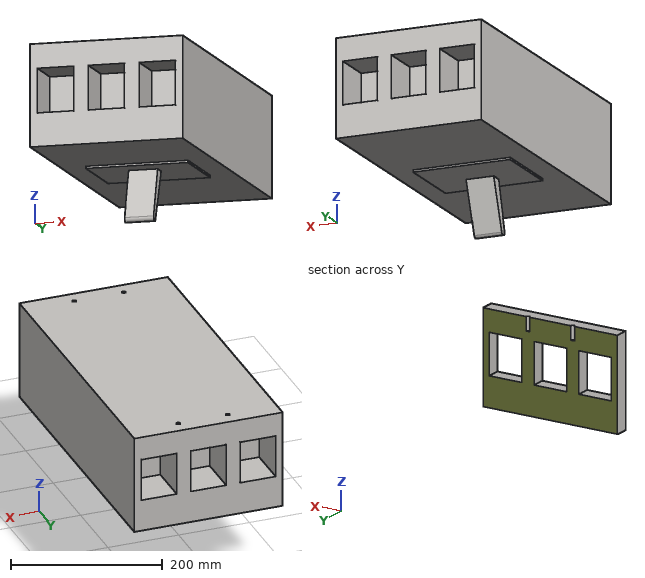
import cadquery as cq
import math

length = 420.0
width = length / 2
height = 138.5

pole_count = 3
pole_pitch = width / pole_count
pocket_width = 50.0
pocket_height = 60.0
pocket_depth = pocket_height
pocket_top_gap = 33.0

hole_diameter = 5.0
hole_end_distance = 20.0
hole_depth = 20.0

plate_width = 140.3
plate_length = 105.0
plate_thickness = 3.0
plate_y = -14.0

lever_width = 40.0
lever_drop = 76.0
lever_root_back_y = -20.5
lever_root_front_y = -37.0
tip_radius = 5.0
tip_y = -51.2
tip_z = tip_radius - lever_drop


def pole_x(index):
    """X position of a pole, counted from the -X side."""
    return (index - (pole_count - 1) / 2) * pole_pitch


def make_housing():
    body = cq.Workplane("XY").box(width, length, height, centered=(True, True, False))
    pocket_z = height - pocket_top_gap - pocket_height / 2
    pocket_y = (length - pocket_depth) / 2
    for end in (-1, 1):
        for index in range(pole_count):
            pocket = cq.Workplane("XY").box(pocket_width, pocket_depth, pocket_height)
            body = body.cut(pocket.translate((pole_x(index), end * pocket_y, pocket_z)))
    return body


def make_mounting_holes():
    hole_y = length / 2 - hole_end_distance
    web_positions = [pole_x(index) + pole_pitch / 2 for index in range(pole_count - 1)]
    points = [(x, y) for x in web_positions for y in (-hole_y, hole_y)]
    top = cq.Workplane("XY").workplane(offset=height)
    return top.pushPoints(points).circle(hole_diameter / 2).extrude(-hole_depth)


def make_plate():
    plate = cq.Workplane("XY").box(plate_width, plate_length, plate_thickness)
    return plate.translate((0, plate_y, -plate_thickness / 2))


def tip_tangent_point(root_y, side):
    """Point where the line from a lever root corner touches the round tip; side is +1 or -1."""
    to_root_y = root_y - tip_y
    to_root_z = -plate_thickness - tip_z
    root_angle = math.atan2(to_root_z, to_root_y)
    spread = math.acos(tip_radius / math.hypot(to_root_y, to_root_z))
    angle = root_angle + side * spread
    return (tip_y + tip_radius * math.cos(angle), tip_z + tip_radius * math.sin(angle))


def make_lever():
    back_tangent = tip_tangent_point(lever_root_back_y, -1)
    front_tangent = tip_tangent_point(lever_root_front_y, 1)
    return (
        cq.Workplane("YZ")
        .moveTo(lever_root_back_y, -plate_thickness)
        .lineTo(*back_tangent)
        .threePointArc((tip_y, -lever_drop), front_tangent)
        .lineTo(lever_root_front_y, -plate_thickness)
        .close()
        .extrude(lever_width / 2, both=True)
    )


result = make_housing().cut(make_mounting_holes()).union(make_plate()).union(make_lever())